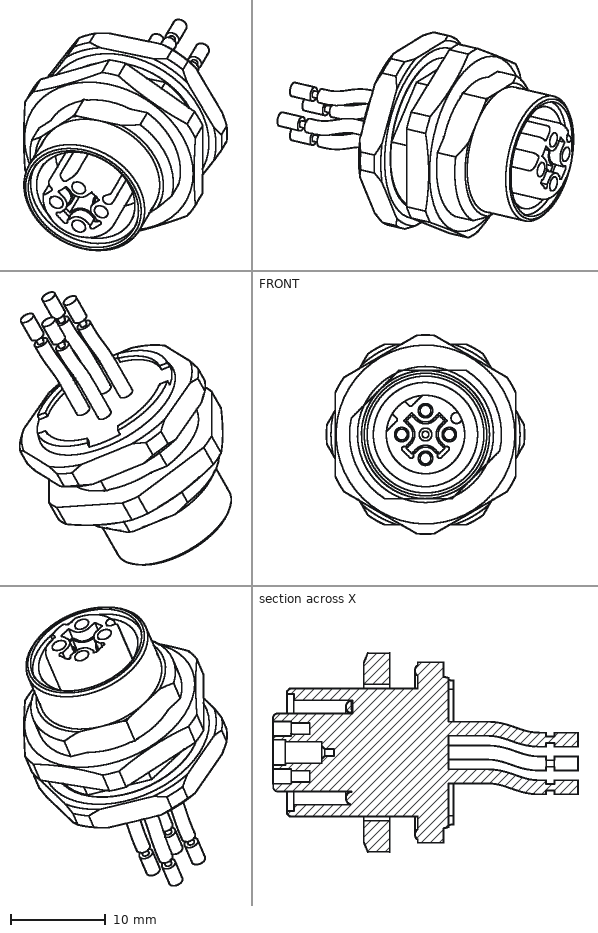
import cadquery as cq
import math


SHELL_FRONT = 1.48
THREAD_FRONT = 6.53
NUT_FRONT = 9.55
NUT_BACK = 12.3
FLANGE_FRONT = 15.25
FLANGE_BACK = 17.97
NOTCH_FLOOR = 18.52
COLLAR_TAPER_END = 18.78
COLLAR_BACK = 19.03
BEND_START = 22.6
BEND_END = 28.07
INSULATION_END = 28.77
TIP_START = 29.65
TIP_END = 32.15

SHELL_R = 13.5 / 2
SHELL_CHAMFER = 0.3
RIM_BORE_R = 12.3 / 2
RIM_BORE_DEPTH = 0.75
BORE_R = 11.0 / 2
BORE_FLOOR = 8.35
THREAD_R = 16.0 / 2
THREAD_ROOT_R = 7.17
THREAD_CHAMFER_LENGTH = 0.77
FLAT_ANGLES = (90, 135)
COLLAR_BACK_R = 7.8
CUP_R = 6.9
NOTCH_WIDTH = 3.6

HEX_ACROSS_FLATS = 19.03
NUT_CORNER_R = 21.0 / 2
NUT_CHAMFER_R = 9.42
NUT_CHAMFER_LENGTH = 0.42
FLANGE_CORNER_R = 20.9 / 2
FLANGE_CHAMFER_R = 9.97
FLANGE_CHAMFER_LENGTH = 0.5

FLANGE_RING_TUBE_R = 0.65
FLANGE_RING_OUTER_R = 9.3
FLANGE_RING_PROUD = 0.3

INSERT_R = 8.25 / 2
INSERT_FILLET = 0.5
KEY_ANGLE = 135
KEY_FLAT = 3.15
KEY_RIB_WIDTH = 1.85
KEY_ROOT_FILLET = 0.23
CODING_ANGLE = 28
CODING_GROOVE_D = 1.15
CODING_GROOVE_R = 3.7

PITCH_R = 2.5
CONTACT_ANGLES = (0, 90, 180, 270)
SLEEVE_D = 1.5
SLEEVE_DEPTH = 1.93
CONTACT_D = 1.15
CONTACT_DEPTH = 3.85
WIRE_D = 1.5
WIRE_NECK_D = 0.7
WIRE_DROP = 1.15

CROSS_ANGLES = (45, 135, 225, 315)
CROSS_REACH = 2.65
CROSS_WALL_R = 1.2
CROSS_INSET = 0.2
CROSS_LEDGE_DEPTH = 1.32
CROSS_DEPTH = 5.15
BAR_ANGLES = (225, 315)
BAR_START = 2.4
BAR_END = 2.9
BAR_WIDTH = 1.55
BAR_CORNER_R = 0.23
CENTER_HOLE_D = 0.7
CENTER_SINK_D = 1.35
CENTER_HOLE_DEPTH = 1.3


def cross_section(y):
    """A workplane across the axis at station y, with local x = X and local y = Z."""
    return cq.Workplane("XZ", origin=(0, y, 0))


def disc(radius, y_start, y_end):
    return cross_section(y_start).circle(radius).extrude(y_start - y_end)


def turned(points):
    """Solid of revolution about Y from (radius, y) points."""
    return cq.Workplane("XY").polyline(points).close().revolve(360, (0, 0), (0, 1))


def polar(radius, angle):
    return radius * math.cos(math.radians(angle)), radius * math.sin(math.radians(angle))


def radial_box(angle, r_start, r_end, width, y_start, y_end):
    """Box lying along the ray at the given angle, between two radii and two stations."""
    box = cq.Workplane("XY").box(r_end - r_start, y_end - y_start, width)
    box = box.translate(((r_start + r_end) / 2, (y_start + y_end) / 2, 0))
    return box.rotate((0, 0, 0), (0, 1, 0), -angle)


def hexagon(first_corner_angle, y_start, y_end):
    corner_r = HEX_ACROSS_FLATS / 2 / math.cos(math.pi / 6)
    corners = [polar(corner_r, first_corner_angle + 60 * i) for i in range(6)]
    return cross_section(y_start).polyline(corners).close().extrude(y_start - y_end)


def make_body():
    thread_full = THREAD_FRONT + THREAD_CHAMFER_LENGTH
    body = turned([
        (0, THREAD_FRONT),
        (THREAD_ROOT_R, THREAD_FRONT),
        (THREAD_R, thread_full),
        (THREAD_R, FLANGE_FRONT),
        (0, FLANGE_FRONT),
    ])
    for angle in FLAT_ANGLES:
        slab = radial_box(angle, -SHELL_R, SHELL_R, 2 * THREAD_R, THREAD_FRONT, FLANGE_FRONT)
        body = body.intersect(slab)
    shell = turned([
        (0, SHELL_FRONT),
        (SHELL_R - SHELL_CHAMFER, SHELL_FRONT),
        (SHELL_R, SHELL_FRONT + SHELL_CHAMFER),
        (SHELL_R, THREAD_FRONT),
        (0, THREAD_FRONT),
    ])
    body = body.union(shell)
    body = body.cut(disc(RIM_BORE_R, SHELL_FRONT, SHELL_FRONT + RIM_BORE_DEPTH))
    return body.cut(disc(BORE_R, SHELL_FRONT, BORE_FLOOR))


def make_nut():
    envelope = turned([
        (THREAD_ROOT_R, NUT_FRONT),
        (NUT_CHAMFER_R, NUT_FRONT),
        (NUT_CORNER_R, NUT_FRONT + NUT_CHAMFER_LENGTH),
        (NUT_CORNER_R, NUT_BACK),
        (THREAD_ROOT_R, NUT_BACK),
    ])
    return hexagon(90, NUT_FRONT, NUT_BACK).intersect(envelope)


def make_flange():
    envelope = turned([
        (0, FLANGE_FRONT),
        (FLANGE_CHAMFER_R, FLANGE_FRONT),
        (FLANGE_CORNER_R, FLANGE_FRONT + FLANGE_CHAMFER_LENGTH),
        (FLANGE_CORNER_R, FLANGE_BACK - FLANGE_CHAMFER_LENGTH),
        (FLANGE_CHAMFER_R, FLANGE_BACK),
        (0, FLANGE_BACK),
    ])
    return hexagon(0, FLANGE_FRONT, FLANGE_BACK).intersect(envelope)


def make_collar():
    collar = turned([
        (0, FLANGE_BACK),
        (THREAD_R, FLANGE_BACK),
        (COLLAR_BACK_R, COLLAR_TAPER_END),
        (COLLAR_BACK_R, COLLAR_BACK),
        (0, COLLAR_BACK),
    ])
    collar = collar.cut(disc(CUP_R, NOTCH_FLOOR, COLLAR_BACK))
    for angle in CONTACT_ANGLES:
        collar = collar.cut(radial_box(angle, 0, THREAD_R, NOTCH_WIDTH, NOTCH_FLOOR, COLLAR_BACK))
    return collar


def ring(center_r, tube_r, y):
    """Torus about Y with its centre plane at station y."""
    section = cq.Workplane("XY", origin=(0, y, 0)).center(center_r, 0).circle(tube_r)
    return section.revolve(360, (-center_r, 0), (-center_r, 1))


def make_flange_ring():
    y = FLANGE_FRONT - FLANGE_RING_PROUD + FLANGE_RING_TUBE_R
    return ring(FLANGE_RING_OUTER_R - FLANGE_RING_TUBE_R, FLANGE_RING_TUBE_R, y)


def make_bore_ring():
    """Ring that fills the gap between insert and bore, half sunk into the bore floor."""
    return ring((BORE_R + INSERT_R) / 2, (BORE_R - INSERT_R) / 2, BORE_FLOOR)


def cross(y_start, y_end, inset):
    """Four-armed cross with inner sides curved around the contacts, shrunk all round by the inset."""
    half_side = PITCH_R / math.sqrt(2)
    wall_r = CROSS_WALL_R + inset
    recess = cross_section(y_start).rect(2 * half_side, 2 * half_side).extrude(y_start - y_end)
    recess = recess.rotate((0, 0, 0), (0, 1, 0), 45)
    for angle in CONTACT_ANGLES:
        x, z = polar(PITCH_R, angle)
        recess = recess.cut(disc(wall_r, y_start, y_end).translate((x, 0, z)))
    for angle in CROSS_ANGLES:
        arm_width = 2 * (half_side - wall_r)
        recess = recess.union(radial_box(angle, 0, CROSS_REACH - inset, arm_width, y_start, y_end))
    return recess


def cut_key(insert):
    """Flat on one side of the insert, leaving a rib with rounded roots along its middle."""
    flat = radial_box(0, KEY_FLAT, 2 * INSERT_R, 2 * INSERT_R, 0, BORE_FLOOR)
    rib = radial_box(0, 0, 2 * INSERT_R, KEY_RIB_WIDTH, 0, BORE_FLOOR)
    cutter = flat.cut(rib).edges("|Y and <X").fillet(KEY_ROOT_FILLET)
    return insert.cut(cutter.rotate((0, 0, 0), (0, 1, 0), -KEY_ANGLE))


def cut_coding_groove(insert):
    x, z = polar(CODING_GROOVE_R, CODING_ANGLE)
    return insert.cut(disc(CODING_GROOVE_D / 2, 0, BORE_FLOOR).translate((x, 0, z)))


def cut_contacts(insert):
    for angle in CONTACT_ANGLES:
        x, z = polar(PITCH_R, angle)
        insert = insert.cut(disc(SLEEVE_D / 2, 0, SLEEVE_DEPTH).translate((x, 0, z)))
        insert = insert.cut(disc(CONTACT_D / 2, 0, CONTACT_DEPTH).translate((x, 0, z)))
    return insert


def cut_cross(insert):
    insert = insert.cut(cross(0, CROSS_LEDGE_DEPTH, 0))
    insert = insert.cut(cross(0, CROSS_DEPTH, CROSS_INSET))
    for angle in BAR_ANGLES:
        bar = radial_box(angle, BAR_START, BAR_END, BAR_WIDTH, 0, CROSS_LEDGE_DEPTH)
        insert = insert.cut(bar.edges("|Y").fillet(BAR_CORNER_R))
    sink_r = CENTER_SINK_D / 2
    hole_r = CENTER_HOLE_D / 2
    sink_end = CROSS_DEPTH + sink_r - hole_r
    hole_end = CROSS_DEPTH + CENTER_HOLE_DEPTH
    center_hole = turned([
        (0, CROSS_DEPTH),
        (sink_r, CROSS_DEPTH),
        (hole_r, sink_end),
        (hole_r, hole_end),
        (0, hole_end),
    ])
    return insert.cut(center_hole)


def make_insert():
    insert = disc(INSERT_R, 0, BORE_FLOOR)
    insert = insert.faces("<Y").edges().fillet(INSERT_FILLET)
    insert = cut_key(insert)
    insert = cut_coding_groove(insert)
    insert = cut_contacts(insert)
    return cut_cross(insert)


def make_wire():
    """One wire on the axis: straight, bent down to a lower line, then a thin neck and a full-width tip."""
    lead = disc(WIRE_D / 2, FLANGE_BACK, BEND_START)
    path = cq.Workplane("YZ").moveTo(BEND_START, 0).spline(
        [(BEND_END, -WIRE_DROP)], tangents=[(1, 0), (1, 0)], includeCurrent=True
    )
    bend = cross_section(BEND_START).circle(WIRE_D / 2).sweep(path)
    lower_end = disc(WIRE_D / 2, BEND_END, INSULATION_END)
    neck = disc(WIRE_NECK_D / 2, INSULATION_END, TIP_START)
    tip = disc(WIRE_D / 2, TIP_START, TIP_END)
    dropped = lower_end.union(neck).union(tip).translate((0, 0, -WIRE_DROP))
    return lead.union(bend).union(dropped)


result = make_body().union(make_nut()).union(make_flange()).union(make_flange_ring())
result = result.union(make_bore_ring()).union(make_insert()).union(make_collar())
for wire_angle in CONTACT_ANGLES:
    wire_x, wire_z = polar(PITCH_R, wire_angle)
    result = result.union(make_wire().translate((wire_x, 0, wire_z)))